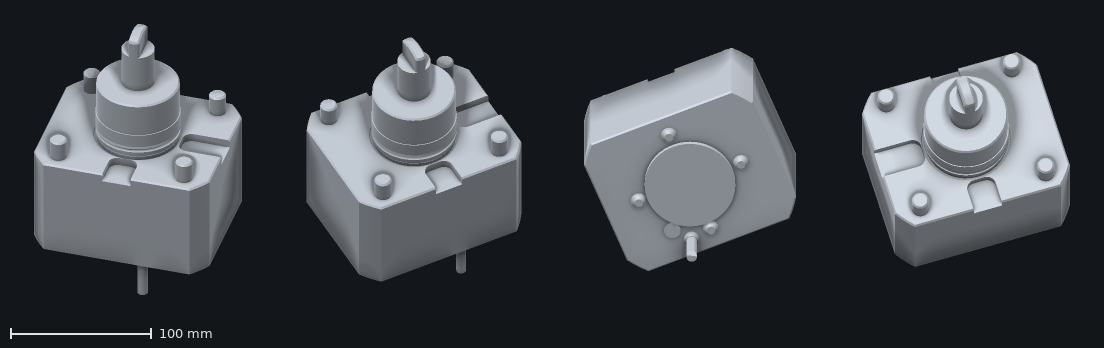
import cadquery as cq
import math

overall_height = 198.3

body_x = 130.0
body_y = 108.0
body_height = 76.0
body_corner_radius = 76.5
body_edge_chamfer = 1.2

recess_diameter = 63.9
recess_depth = 1.4
recess_chamfer = 0.5

slot_width = 21.0
slot_depth = 6.1
slot_inner_end = recess_diameter / 2
slot_corner_radius = 6.5

pin_diameter = 12.0
pin_top = 91.2
pin_chamfer = 1.2
pin_x = 46.6
pin_y = 41.8

neck_radius = 59.5 / 2
groove_radius = 55.1 / 2
ring_radius = 60.7 / 2
collar_radius = 59.5 / 2
collar_top = 122.2
collar_chamfer = 1.2
lower_ring_bottom = 78.3
lower_ring_top = 81.5
seal_rim = 84.0
seal_top_radius = 29.7
seal_waist_radius = 28.5
seal_waist_height = 83.3
neck_groove_radius = 29.2
neck_groove_height = 1.0
upper_ring_bottom = 86.3
upper_ring_top = 96.4

shaft_diameter = 23.8
shaft_root_diameter = 23.5
shaft_step = 128.5
shaft_shoulder = 151.1
tang_thickness = 8.1
tang_top = 167.2
tang_crown_radius = 24.8
tang_chamfer = 1.2
tang_side_chamfer = 1.0

flange_diameter = 64.5
flange_neck_diameter = 60.0
flange_top = -2.2
flange_bottom = -6.0

screw_circle_radius = 39.3
screw_diameter = 11.7
screw_tip_diameter = 6.0
screw_height = 4.2
serration_diameter = 11.1
serration_height = 1.4
screw_teeth = 28
tooth_depth = 0.5
dome_bulge = 0.3

cable_x = 15.9
cable_y = -41.8
cable_diameter = 7.3
cable_bottom = tang_top - overall_height
relief_top_diameter = 11.7
relief_bottom_diameter = cable_diameter + 0.4
relief_height = 3.5
tip_bevel_start = 1.0
tip_bevel_height = 3.2
tip_bevel_direction = 120

boss_x = 25.5
boss_y = -29.2
boss_root_diameter = 7.3
boss_end_diameter = 11.9
boss_height = 3.4


def cylinder(diameter, bottom, top, x=0.0, y=0.0):
    return cq.Workplane("XY", origin=(x, y, bottom)).circle(diameter / 2).extrude(top - bottom)


def hanging_dome(top_diameter, bottom_diameter, height):
    """Round dome below Z = 0 that curves in to a flat tip."""
    top = top_diameter / 2
    bottom = bottom_diameter / 2
    middle = ((top + bottom) / 2 + dome_bulge, -height / 2 - dome_bulge)
    return (
        cq.Workplane("XZ")
        .lineTo(top, 0)
        .threePointArc(middle, (bottom, -height))
        .lineTo(0, -height)
        .close()
        .revolve(360, (0, 0, 0), (0, 1, 0))
    )


def make_body():
    block = cq.Workplane("XY").box(body_x, body_y, body_height, centered=(True, True, False))
    block = block.intersect(cylinder(2 * body_corner_radius, 0, body_height))
    return block.faces("<Z or >Z").chamfer(body_edge_chamfer)


def make_slot(angle, outer_face):
    """Open-ended slot along +X, turned about Z to the given angle."""
    length = outer_face - slot_inner_end
    slot = (
        cq.Workplane("XY", origin=(slot_inner_end + length / 2, 0, body_height - slot_depth))
        .rect(length, slot_width)
        .extrude(slot_depth)
        .edges("|Z and <X")
        .fillet(slot_corner_radius)
    )
    return slot.rotate((0, 0, 0), (0, 0, 1), angle)


def make_recess():
    """Round recess with a chamfered mouth."""
    bore = cylinder(recess_diameter - 2 * recess_chamfer, body_height - recess_depth, body_height)
    mouth = (
        cq.Workplane("XY", origin=(0, 0, body_height))
        .circle(recess_diameter / 2)
        .workplane(offset=-recess_chamfer)
        .circle(recess_diameter / 2 - recess_chamfer)
        .loft()
    )
    return bore.union(mouth)


def make_pin(x, y):
    return cylinder(pin_diameter, body_height, pin_top, x, y).faces(">Z").chamfer(pin_chamfer)


def make_collar():
    """Neck, sealing rings and plain collar, turned from one outline."""
    return (
        cq.Workplane("XZ")
        .moveTo(0, body_height - recess_depth)
        .lineTo(neck_radius, body_height - recess_depth)
        .lineTo(neck_radius, lower_ring_bottom - neck_groove_height)
        .lineTo(neck_groove_radius, lower_ring_bottom - neck_groove_height)
        .lineTo(neck_groove_radius, lower_ring_bottom)
        .lineTo(ring_radius, lower_ring_bottom)
        .lineTo(ring_radius, lower_ring_top)
        .lineTo(groove_radius, lower_ring_top)
        .threePointArc((seal_waist_radius, seal_waist_height), (ring_radius, seal_rim))
        .lineTo(seal_top_radius, upper_ring_bottom)
        .lineTo(ring_radius, upper_ring_bottom)
        .lineTo(ring_radius, upper_ring_top)
        .lineTo(collar_radius, upper_ring_top)
        .lineTo(collar_radius, collar_top - collar_chamfer)
        .lineTo(collar_radius - collar_chamfer, collar_top)
        .lineTo(0, collar_top)
        .close()
        .revolve(360, (0, 0, 0), (0, 1, 0))
    )


def make_shaft():
    root = cylinder(shaft_root_diameter, upper_ring_top, shaft_step)
    upper = cylinder(shaft_diameter, shaft_step, shaft_shoulder)
    return root.union(upper).union(make_tang())


def make_tang():
    """Flat tang across the shaft with a crowned, chamfered end."""
    tang = cylinder(shaft_diameter, shaft_shoulder, tang_top)
    crown = (
        cq.Workplane("YZ", origin=(-shaft_diameter, 0, 0))
        .center(0, tang_top - tang_crown_radius)
        .circle(tang_crown_radius)
        .extrude(2 * shaft_diameter)
    )
    slab = cq.Workplane("XY", origin=(0, 0, shaft_shoulder)).rect(tang_thickness, 2 * shaft_diameter)
    tang = tang.intersect(slab.extrude(tang_top - shaft_shoulder)).intersect(crown)
    tang = tang.faces("<X or >X").edges("|Z").chamfer(tang_side_chamfer)
    return tang.faces(">Z").chamfer(tang_chamfer)


def make_flange():
    neck = cylinder(flange_neck_diameter, flange_top, 0)
    return neck.union(cylinder(flange_diameter, flange_bottom, flange_top))


def make_screw(angle):
    """Dome-head screw with a serrated collar against the housing."""
    teeth = []
    for i in range(2 * screw_teeth):
        radius = serration_diameter / 2 - tooth_depth * (i % 2)
        turn = math.pi * i / screw_teeth
        teeth.append((radius * math.cos(turn), radius * math.sin(turn)))
    collar = cq.Workplane("XY").polyline(teeth).close().extrude(-serration_height)
    screw = collar.union(hanging_dome(screw_diameter, screw_tip_diameter, screw_height))
    return screw.translate((screw_circle_radius, 0, 0)).rotate((0, 0, 0), (0, 0, 1), angle)


def make_cable():
    """Straight cable with a domed strain relief and a bevelled tip."""
    length = -cable_bottom
    radius = cable_diameter / 2
    bevel = (
        cq.Workplane("XZ")
        .polyline([(tip_bevel_start, -length), (radius, -length + tip_bevel_height), (radius, -length)])
        .close()
        .extrude(radius, both=True)
        .rotate((0, 0, 0), (0, 0, 1), tip_bevel_direction)
    )
    relief = hanging_dome(relief_top_diameter, relief_bottom_diameter, relief_height)
    cable = cylinder(cable_diameter, cable_bottom, 0).cut(bevel).union(relief)
    return cable.translate((cable_x, cable_y, 0))


def make_boss():
    """Small conical boss beside the cable, widest at its free end."""
    return (
        cq.Workplane("XY", origin=(boss_x, boss_y, 0))
        .circle(boss_root_diameter / 2)
        .workplane(offset=-boss_height)
        .circle(boss_end_diameter / 2)
        .loft()
    )


result = make_body().cut(make_recess())
for angle, outer_face in ((0, body_x / 2), (90, body_y / 2), (270, body_y / 2)):
    result = result.cut(make_slot(angle, outer_face))
for side_x in (-1, 1):
    for side_y in (-1, 1):
        result = result.union(make_pin(side_x * pin_x, side_y * pin_y))
result = result.union(make_collar()).union(make_shaft()).union(make_flange())
for angle in (0, 90, 180, 270):
    result = result.union(make_screw(angle))
result = result.union(make_cable()).union(make_boss())